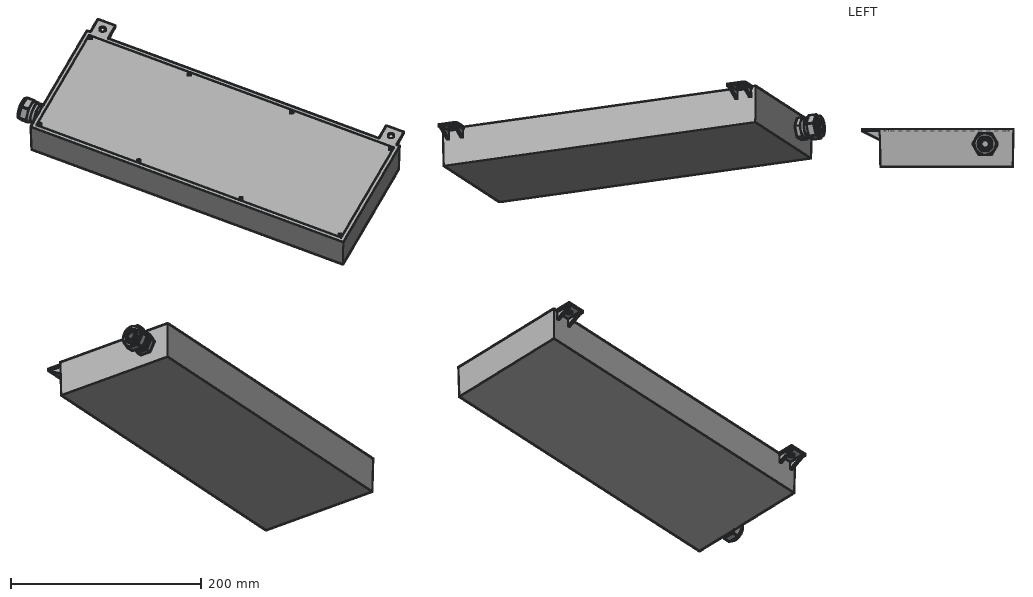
import cadquery as cq
import math

OVERALL_LENGTH = 387.5
OVERALL_WIDTH = 159.5
LENGTH = 362.5
WIDTH = 140.7
HEIGHT = 40.0
DRAFT_ANGLE = 1.0
RIM_WIDTH = 4.5
LID_THICKNESS = 2.5

LID_HOLE_DIAMETER = 3.5
LID_HOLE_INSET = 2.7
LID_HOLE_PITCH = 118.5

TAB_WIDTH = 20.5
TAB_REACH = OVERALL_WIDTH - WIDTH
TAB_THICKNESS = 2.5
TAB_INSET = 4.0
TAB_HOLE_DIAMETER = 6.5
TAB_HOLE_FROM_TIP = 10.0
RIB_DROP = 11.5
RIB_THICKNESS = 2.5
RIB_INSET = 1.0

GLAND_LENGTH = OVERALL_LENGTH - LENGTH
GLAND_Y = 30.0
GLAND_Z = -16.0
SEAL_MOUTH_CHAMFER = 1.0
SEAL_RECESS = 1.5
SEAL_BORE = 8.0
SEAL_TIP_DIAMETER = 12.0
SEAL_DIAMETER = 16.0
NUT_START = 1.5
NUT_HEX_START = 4.0
NUT_HEX_END = 12.0
NUT_END = 16.0
NUT_COLLAR_DIAMETER = 22.5
NUT_ACROSS_FLATS = 23.3
NUT_CORNER_DIAMETER = 26.5
BODY_DIAMETER = 20.5
BODY_HEX_START = 20.0
BODY_ACROSS_FLATS = 21.0
BODY_SEAT_DEPTH = 1.0


def gland_plane(start):
    """Plane across the gland axis, at a distance from its outer end."""
    return cq.Plane((start - GLAND_LENGTH, GLAND_Y, GLAND_Z), xDir=(0, 1, 0), normal=(1, 0, 0))


def gland_cylinder(diameter, start, end):
    return cq.Workplane(gland_plane(start)).circle(diameter / 2).extrude(end - start)


def gland_hexagon(across_flats, start, end):
    across_corners = across_flats / math.cos(math.pi / 6)
    return cq.Workplane(gland_plane(start)).polygon(6, across_corners).extrude(end - start)


def lid_blank():
    """Plain lid plate, which is also the shape of its recess in the housing."""
    plate = cq.Workplane("XY").box(
        LENGTH - 2 * RIM_WIDTH, WIDTH - 2 * RIM_WIDTH, LID_THICKNESS, centered=False
    )
    return plate.translate((RIM_WIDTH, RIM_WIDTH, -LID_THICKNESS))


def make_lid():
    edge_offset = RIM_WIDTH + LID_HOLE_INSET
    x_places = (
        edge_offset,
        (LENGTH - LID_HOLE_PITCH) / 2,
        (LENGTH + LID_HOLE_PITCH) / 2,
        LENGTH - edge_offset,
    )
    y_places = (edge_offset, WIDTH - edge_offset)
    places = [(x, y) for x in x_places for y in y_places]
    holes = cq.Workplane("XY").pushPoints(places).circle(LID_HOLE_DIAMETER / 2).extrude(-LID_THICKNESS)
    return lid_blank().cut(holes)


def make_rib(x_start):
    """Triangular rib under a tab, rooted in the rear wall."""
    return (
        cq.Workplane("YZ", origin=(x_start, 0, 0))
        .moveTo(WIDTH + TAB_REACH, -TAB_THICKNESS)
        .lineTo(WIDTH, -RIB_DROP)
        .lineTo(WIDTH - RIM_WIDTH, -RIB_DROP)
        .lineTo(WIDTH - RIM_WIDTH, -TAB_THICKNESS)
        .close()
        .extrude(RIB_THICKNESS)
    )


def make_tab(x_start):
    """Drilled plate on two ribs, rooted in the rear wall."""
    plate = cq.Workplane("XY").box(TAB_WIDTH, TAB_REACH + RIM_WIDTH, TAB_THICKNESS, centered=False)
    plate = plate.translate((x_start, WIDTH - RIM_WIDTH, -TAB_THICKNESS))
    tip_y = WIDTH + TAB_REACH
    x_middle = x_start + TAB_WIDTH / 2
    for rib_start in (x_start + RIB_INSET, x_start + TAB_WIDTH - RIB_INSET - RIB_THICKNESS):
        plate = plate.union(make_rib(rib_start))
    hole = (
        cq.Workplane("XY", origin=(x_middle, tip_y - TAB_HOLE_FROM_TIP, 0))
        .circle(TAB_HOLE_DIAMETER / 2)
        .extrude(-TAB_THICKNESS)
    )
    return plate.cut(hole)


def make_housing():
    block = (
        cq.Workplane("XY")
        .rect(LENGTH, WIDTH)
        .extrude(-HEIGHT, taper=DRAFT_ANGLE)
        .translate((LENGTH / 2, WIDTH / 2, 0))
    )
    for x_start in (TAB_INSET, LENGTH - TAB_INSET - TAB_WIDTH):
        block = block.union(make_tab(x_start))
    return block.cut(lid_blank()).cut(make_gland_body())


def make_gland_body():
    barrel = gland_cylinder(BODY_DIAMETER, NUT_END, BODY_HEX_START)
    hexagon = gland_hexagon(BODY_ACROSS_FLATS, BODY_HEX_START, GLAND_LENGTH + BODY_SEAT_DEPTH)
    return barrel.union(hexagon)


def make_gland_nut():
    collar = gland_cylinder(NUT_COLLAR_DIAMETER, NUT_START, NUT_END)
    hexagon = gland_hexagon(NUT_ACROSS_FLATS, NUT_HEX_START, NUT_HEX_END)
    hexagon = hexagon.intersect(gland_cylinder(NUT_CORNER_DIAMETER, NUT_HEX_START, NUT_HEX_END))
    return collar.union(hexagon).cut(gland_cylinder(SEAL_DIAMETER, NUT_START, NUT_END))


def make_gland_seal():
    sleeve_start = NUT_START + SEAL_RECESS
    tip = gland_cylinder(SEAL_TIP_DIAMETER, 0, sleeve_start)
    sleeve = gland_cylinder(SEAL_DIAMETER, sleeve_start, NUT_END)
    bore = gland_cylinder(SEAL_BORE, 0, NUT_END)
    seal = tip.union(sleeve).cut(bore)
    mouth_rim = cq.selectors.RadiusNthSelector(0)
    return seal.faces("<X").edges(mouth_rim).chamfer(SEAL_MOUTH_CHAMFER)


housing = make_housing()
lid = make_lid()
gland_body = make_gland_body()
gland_nut = make_gland_nut()
gland_seal = make_gland_seal()

result = cq.Compound.makeCompound(
    [housing.val(), lid.val(), gland_body.val(), gland_nut.val(), gland_seal.val()]
)